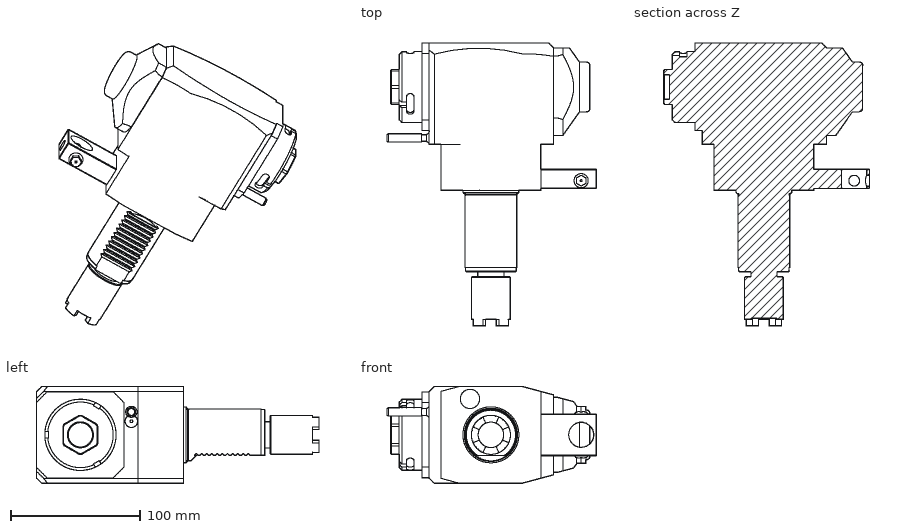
import cadquery as cq
import math


total_height = 75.0
half_height = total_height / 2
face_left = -47.7
face_right = 48.5
back_y = 114.0
step_y = 35.5
foot_half_width = 38.7
flat_half_width = 24.0
slope_angle = 15.0
slope = math.tan(math.radians(slope_angle))
edge_chamfer = 4.0
dome_center = (-9.5, -21.9)
dome_radius = 131.7
plug_center = (-16.2, 27.8)
plug_radius = 7.5
plug_depth = 0.5

spindle_y = 79.9
plate_front = -53.5
plate_y = (46.2, back_y)
plate_half_height = 33.3
plate_chamfer = 8.3
nut_front = -71.0
nut_radius = 27.5
nut_chamfer = 2.2
nut_slot_count = 3
nut_slot_start_angle = 30.0
nut_slot_x = -62.4
nut_slot_length = 18.4
nut_slot_width = 5.7
nut_notch_width = 5.0
nut_slot_depth = 4.2
nut_notch_depth = 3.0
hex_front = -77.5
hex_flats = 27.1
hex_corner_radius = 15.0
hex_bore_radius = 9.5
hex_bore_depth = 4.4
hex_chamfer = 0.7

pipe_y = 40.5
pipe_z = 17.7
pipe_tip = -80.5
pipe_end = -53.6
pipe_radius = 3.3
pipe_chamfer = 1.3
neck_end = -49.7
neck_radius = 2.6
pipe_base_radius = 4.4
screw_z = 10.5
screw_radius = 4.8
screw_height = 0.2
screw_hole_radius = 1.0

cap_radius = 37.6
cap_cone_start = 55.5
cap_cone_end = 68.5
cap_end = 76.5
cap_tip_diameter = 38.7
cap_tip_radius = cap_tip_diameter / 2
cap_fillet = 2.8
cap_flat_y = 110.0
cap_flat_z = 29.0
cap_slope_start = 51.5

bar_end = 81.8
bar_y = (1.3, 16.5)
bar_half_height = 16.2
bar_chamfer = 0.55
bar_hole_x = 69.8
bar_hole_radius = 9.6
nipple_y = 7.5
nipple_base_radius = 5.5
nipple_base_height = 1.8
nipple_flats = 7.2
nipple_top = 22.0
nipple_hole_radius = 0.77
nipple_hole_depth = 2.2
side_bore_radius = 4.2
nipple_bore_end = 10.0

collar_radius = 21.7
collar_length = 2.8
collar_chamfer = 1.0
relief_radius = 19.5
relief_length = 0.9
shaft_radius = 20.1
tail_radius = 19.7
tail_start = 59.7
shaft_length = 63.0
tail_chamfer = 0.7
neck_shaft_radius = 10.3
coupling_start = 66.7
coupling_radius = 15.0
coupling_chamfer = 0.7
claw_start = 99.8
claw_bore_radius = 9.8
claw_bore_step = 0.7
claw_count = 4
claw_slot_angle = 24.0
total_length = 218.8
coupling_end = total_length - back_y
rack_z = -16.0
rack_start = 9.8
tooth_depth = 1.5
tooth_half_width = 1.5
tooth_count = 11
rack_length = 40.0
tooth_pitch = rack_length / (tooth_count - 1)


def x_cylinder(radius, start, end, y, z=0.0):
    """Cylinder along X between two X positions."""
    return cq.Workplane("YZ", origin=(start, 0, 0)).center(y, z).circle(radius).extrude(end - start)


def y_prism(points, start, end):
    """XZ outline extruded along Y between two Y positions."""
    return cq.Workplane("XZ", origin=(0, end, 0)).polyline(points).close().extrude(end - start)


def box_between(x_range, y_range, z_range):
    """Box given by its low and high limit along each axis."""
    size = [high - low for low, high in (x_range, y_range, z_range)]
    corner = (x_range[0], y_range[0], z_range[0])
    return cq.Workplane("XY", origin=corner).box(*size, centered=False)


def mirrored_outline(upper):
    """Close an upper outline with its mirror image below Z = 0."""
    return upper + [(x, -z) for x, z in reversed(upper)]


def hexagon_diameter(flats):
    """Diameter across the corners of a hexagon given its width across flats."""
    return flats / math.cos(math.pi / 6)


def sloped_height(x):
    """Height of the sloped top face at X."""
    return half_height - (abs(x) - flat_half_width) * slope


def make_housing():
    head_outline = mirrored_outline([
        (face_left, half_height - edge_chamfer),
        (face_left + edge_chamfer, half_height),
        (flat_half_width, half_height),
        (face_right, sloped_height(face_right)),
    ])
    head = y_prism(head_outline, step_y, back_y)
    right_back_edge = cq.selectors.NearestToPointSelector((face_right, back_y, 0))
    head = head.edges(right_back_edge).chamfer(edge_chamfer)

    dome = (
        cq.Workplane("XZ", origin=(dome_center[0], dome_center[1], 0))
        .polyline([
            (0, -half_height),
            (dome_radius, -half_height),
            (dome_radius + half_height, 0),
            (dome_radius, half_height),
            (0, half_height),
        ])
        .close()
        .revolve(360, (0, 0), (0, 1))
    )
    head = head.intersect(dome)

    foot_edge = sloped_height(foot_half_width)
    foot_outline = mirrored_outline([
        (-foot_half_width, foot_edge),
        (-flat_half_width, half_height),
        (flat_half_width, half_height),
        (foot_half_width, foot_edge),
    ])
    foot = y_prism(foot_outline, 0, step_y)
    plug_recess = (
        cq.Workplane("XZ")
        .center(*plug_center)
        .circle(plug_radius)
        .extrude(-plug_depth)
    )
    return head.union(foot).cut(plug_recess)


def make_plate():
    plate = box_between(
        (plate_front, face_left), plate_y, (-plate_half_height, plate_half_height)
    )
    return plate.edges("|X").chamfer(plate_chamfer)


def make_clamp_nut():
    nut = x_cylinder(nut_radius, nut_front, plate_front, spindle_y)
    nut = nut.faces("<X").chamfer(nut_chamfer)

    slot = (
        cq.Workplane("XY", origin=(nut_slot_x, spindle_y, nut_radius - nut_slot_depth))
        .slot2D(nut_slot_length, nut_slot_width, 90)
        .extrude(2 * nut_slot_depth)
    )
    notch = box_between(
        (nut_front, nut_slot_x),
        (spindle_y - nut_notch_width / 2, spindle_y + nut_notch_width / 2),
        (nut_radius - nut_notch_depth, nut_radius + nut_notch_depth),
    )
    cutter = slot.union(notch)
    for i in range(nut_slot_count):
        angle = nut_slot_start_angle + i * 360 / nut_slot_count
        nut = nut.cut(cutter.rotate((0, spindle_y, 0), (1, spindle_y, 0), angle))
    return nut


def make_hex_head():
    hexagon = (
        cq.Workplane("YZ", origin=(hex_front, spindle_y, 0))
        .transformed(rotate=(0, 0, 90))
        .polygon(6, hexagon_diameter(hex_flats))
        .extrude(nut_front - hex_front)
    )
    corner_limit = x_cylinder(hex_corner_radius, hex_front, nut_front, spindle_y)
    bore = x_cylinder(hex_bore_radius, hex_front, hex_front + hex_bore_depth, spindle_y)
    return hexagon.intersect(corner_limit).cut(bore).faces("<X").chamfer(hex_chamfer)


def make_coolant_pipe():
    profile = [
        (pipe_tip, 0),
        (pipe_tip, pipe_radius - pipe_chamfer / 2),
        (pipe_tip + pipe_chamfer, pipe_radius),
        (pipe_end, pipe_radius),
        (pipe_end, neck_radius),
        (neck_end, neck_radius),
        (face_left, pipe_base_radius),
        (face_left, 0),
    ]
    return (
        cq.Workplane("XY", origin=(0, pipe_y, pipe_z))
        .polyline(profile)
        .close()
        .revolve(360, (0, 0), (1, 0))
    )


def make_flat_screw():
    front = face_left - screw_height
    head = x_cylinder(screw_radius, front, face_left, pipe_y, screw_z)
    return head.cut(x_cylinder(screw_hole_radius, front, face_left, pipe_y, screw_z))


def make_rear_cap():
    profile = [
        (face_right, 0),
        (face_right, cap_radius),
        (cap_cone_start, cap_radius),
        (cap_cone_end, cap_tip_radius),
        (cap_end, cap_tip_radius),
        (cap_end, 0),
    ]
    cap = (
        cq.Workplane("XY", origin=(0, spindle_y, 0))
        .polyline(profile)
        .close()
        .revolve(360, (0, 0), (1, 0))
        .faces(">X")
        .edges()
        .fillet(cap_fillet)
    )
    envelope = mirrored_outline([
        (face_right, cap_flat_z),
        (cap_slope_start, cap_flat_z),
        (cap_end, cap_flat_z - (cap_end - cap_slope_start) * slope),
    ])
    return cap.intersect(y_prism(envelope, spindle_y - cap_radius, cap_flat_y))


def make_nipple():
    base = (
        cq.Workplane("XY", origin=(bar_hole_x, nipple_y, bar_half_height))
        .circle(nipple_base_radius)
        .workplane(offset=nipple_base_height)
        .circle(nipple_flats / 2)
        .loft()
    )
    head = (
        cq.Workplane("XY", origin=(bar_hole_x, nipple_y, bar_half_height))
        .transformed(rotate=(0, 0, 90))
        .polygon(6, hexagon_diameter(nipple_flats))
        .extrude(nipple_top - bar_half_height)
        .faces(">Z")
        .workplane()
        .circle(nipple_hole_radius)
        .cutBlind(-nipple_hole_depth)
    )
    return base.union(head)


def make_side_bar():
    bar = box_between(
        (foot_half_width, bar_end), bar_y, (-bar_half_height, bar_half_height)
    )
    bar = bar.edges("|X or >X").chamfer(bar_chamfer)
    cross_hole = (
        cq.Workplane("XZ", origin=(bar_hole_x, bar_y[1], 0))
        .circle(bar_hole_radius)
        .extrude(bar_y[1] - bar_y[0])
    )
    nipple_bore = (
        cq.Workplane("XY", origin=(bar_hole_x, nipple_y, -nipple_bore_end))
        .circle(side_bore_radius)
        .extrude(2 * nipple_bore_end)
    )
    end_bore = x_cylinder(side_bore_radius, bar_hole_x, bar_end, nipple_y)
    upper_nipple = make_nipple()
    lower_nipple = upper_nipple.mirror("XY")
    drilled_bar = bar.cut(cross_hole).cut(nipple_bore).cut(end_bore)
    return drilled_bar.union(upper_nipple).union(lower_nipple)


def make_shaft():
    profile = [
        (0, 0),
        (collar_radius, 0),
        (collar_radius, -collar_length + collar_chamfer),
        (collar_radius - collar_chamfer, -collar_length),
        (relief_radius, -collar_length),
        (relief_radius, -collar_length - relief_length),
        (shaft_radius, -collar_length - relief_length),
        (shaft_radius, -tail_start),
        (tail_radius, -tail_start),
        (tail_radius, -shaft_length + tail_chamfer),
        (tail_radius - tail_chamfer, -shaft_length),
        (neck_shaft_radius, -shaft_length),
        (neck_shaft_radius, -coupling_start),
        (coupling_radius - coupling_chamfer, -coupling_start),
        (coupling_radius, -coupling_start - coupling_chamfer),
        (coupling_radius, -coupling_end),
        (0, -coupling_end),
    ]
    return cq.Workplane("XY").polyline(profile).close().revolve(360, (0, 0), (0, 1))


def cut_rack(shaft):
    """Flat with V grooves under the shaft, entered by a 45 degree ramp."""
    depth = collar_radius + rack_z
    flat = [
        (-rack_start, rack_z),
        (-shaft_length, rack_z),
        (-shaft_length, rack_z - depth),
        (-rack_start + depth, rack_z - depth),
    ]
    shaft = shaft.cut(
        cq.Workplane("YZ", origin=(-collar_radius, 0, 0))
        .polyline(flat)
        .close()
        .extrude(2 * collar_radius)
    )
    for i in range(tooth_count):
        root_y = -rack_start - i * tooth_pitch
        groove = [
            (root_y - tooth_half_width, rack_z),
            (root_y, rack_z + tooth_depth),
            (root_y + tooth_half_width, rack_z),
        ]
        shaft = shaft.cut(
            cq.Workplane("YZ", origin=(-collar_radius, 0, 0))
            .polyline(groove)
            .close()
            .extrude(2 * collar_radius)
        )
    return shaft


def cut_claws(shaft):
    """Centre recess and wedge slots that leave the claws standing."""
    claw_length = coupling_end - claw_start
    end_plane = cq.Workplane("XZ", origin=(0, -coupling_end, 0))
    recess = end_plane.circle(claw_bore_radius).extrude(-claw_length - claw_bore_step)
    shaft = shaft.cut(recess)
    reach = 2 * coupling_radius
    spread = reach * math.tan(math.radians(claw_slot_angle))
    wedge = (
        end_plane
        .polyline([(0, 0), (reach, spread), (reach, -spread)])
        .close()
        .extrude(-claw_length)
    )
    for i in range(claw_count):
        shaft = shaft.cut(wedge.rotate((0, 0, 0), (0, 1, 0), i * 360 / claw_count))
    return shaft


result = (
    make_housing()
    .union(make_plate())
    .union(make_clamp_nut())
    .union(make_hex_head())
    .union(make_coolant_pipe())
    .union(make_flat_screw())
    .union(make_rear_cap())
    .union(make_side_bar())
    .union(cut_claws(cut_rack(make_shaft())))
)